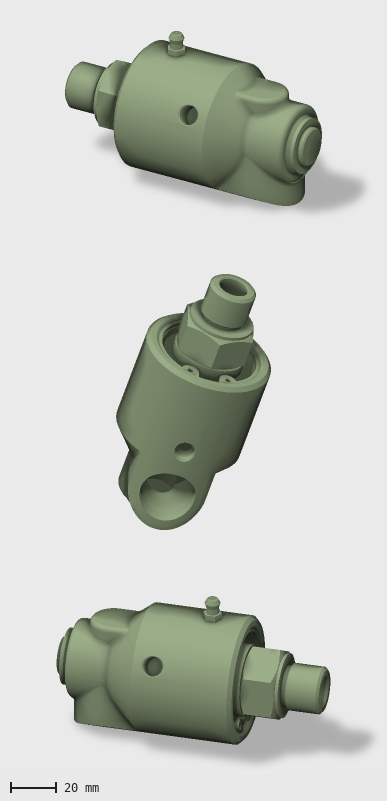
import cadquery as cq
import math

TOTAL_LENGTH = 119.2

THREAD_DIA = 21.0
THREAD_END = 14.7
THREAD_CHAMFER = 1.2
NECK_DIA = 18.4
NECK_START = 15.7
COLLAR_DIA = 28.6
COLLAR_START = 17.3
HEX_START = 18.7
HEX_END = 34.1
HEX_FLATS = 29.9
HEX_FACE_DIA = 29.1
HEX_CHAMFER_ANGLE = 30.0
SHAFT_DIA = 32.0
BORE_DIA = 12.8
BORE_END = 109.6
BORE_CHAMFER = 0.5

BODY_DIA = 57.0
BODY_START = 34.5
BODY_CHAMFER = 1.8
CONE_START = 80.1
NOSE_START = 94.3
NOSE_DIA = 35.0
NOSE_END = 113.2
NOSE_ROUND = 2.0
JOINT_BLEND = 2.0

PLUG_FOOT_DIA = 26.7
PLUG_DIA = 25.0
PLUG_GROOVE_DIA = 24.4
PLUG_GROOVE_START = 115.0
PLUG_END = 116.8
TIP_DIA = 17.5
TIP_CHAMFER = 0.7

FOOT_HALF_WIDTH = 17.3
FOOT_SETBACK = 0.4
PORT_X = NOSE_END - FOOT_SETBACK - FOOT_HALF_WIDTH
PORT_DIA = 24.4
BOSS_RADIUS = 10.2
BOSS_TOP = 22.2
BOSS_ROUND = 2.1
BOSS_BACK = 83.4
JOINT_TOLERANCE = 0.0001

RECESS_DIA = 46.7
RECESS_MOUTH_DIA = 48.6
RECESS_MOUTH_DEPTH = 0.7
RING_START = 35.6
RING_THICKNESS = 1.5
RING_INNER_DIA = 43.1
RING_END = RING_START + RING_THICKNESS
LUG_Y = 8.6
LUG_Z = -18.6
LUG_RADIUS = 3.8
LUG_HOLE_DIA = 2.5
SEAL_OUTER_DIA = 42.0
SEAL_INNER_DIA = 39.7
SEAL_DEPTH = 2.4
SEAL_FACE = RING_END + SEAL_DEPTH

VENT_DIA = 8.6
VENT_RIM_DIA = 10.0
VENT_FLOOR = 20.5
VENT_X = 70.9
VENT_ANGLES = (60, 180, 300)

NIPPLE_X = 50.8
NIPPLE_SINK = 1.2
NIPPLE_FLATS = 7.3
NIPPLE_HEX_TOP = 31.3
NIPPLE_NECK_DIA = 5.5
NIPPLE_NECK_TOP = 33.8
NIPPLE_HEAD_DIA = 6.9
NIPPLE_HEAD_Z = 36.1
NIPPLE_TOP_DIA = 5.0
NIPPLE_SHOULDER_Z = 38.0
NIPPLE_TIP_DIA = 1.4
NIPPLE_TOP = 38.5


def revolved(outline):
    """Solid of revolution about X from (x, radius) points that start and end on the axis."""
    return cq.Workplane("XY").polyline(outline).close().revolve(360, (0, 0, 0), (1, 0, 0))


def cylinder_x(diameter, start, end):
    """Cylinder on the main axis."""
    return cq.Workplane("YZ", origin=(start, 0, 0)).circle(diameter / 2).extrude(end - start)


def round_ended_block(back, half_width, bottom, height):
    """Upright block that starts at X = back and ends in a half circle about the port axis."""
    return (
        cq.Workplane("XY", origin=(0, 0, bottom))
        .moveTo(back, -half_width)
        .lineTo(PORT_X, -half_width)
        .threePointArc((PORT_X + half_width, 0), (PORT_X, half_width))
        .lineTo(back, half_width)
        .close()
        .extrude(height)
    )


def turned_housing():
    body_r = BODY_DIA / 2
    nose_r = NOSE_DIA / 2
    return revolved([
        (BODY_START, 0),
        (BODY_START, body_r - BODY_CHAMFER),
        (BODY_START + BODY_CHAMFER, body_r),
        (CONE_START, body_r),
        (NOSE_START, nose_r),
        (NOSE_END, nose_r),
        (NOSE_END, 0),
    ])


def port_foot():
    """Foot that continues the body cylinder below the nose."""
    block = round_ended_block(CONE_START, FOOT_HALF_WIDTH, -BODY_DIA / 2, BODY_DIA / 2)
    return block.intersect(cylinder_x(BODY_DIA, CONE_START, NOSE_END))


def top_boss():
    boss = round_ended_block(BOSS_BACK, BOSS_RADIUS, 0, BOSS_TOP)
    return boss.faces(">Z").edges("not <X").fillet(BOSS_ROUND)


def touches(edge, solid):
    midpoint = cq.Vertex.makeVertex(*edge.positionAt(0.5).toTuple())
    return solid.val().distance(midpoint) < JOINT_TOLERANCE


def blended_housing():
    """Housing with foot and boss, rounded along every line where they meet and where cone meets nose."""
    turned = turned_housing()
    attachments = (port_foot(), top_boss())
    housing = turned
    for attachment in attachments:
        housing = housing.union(attachment)

    def is_joint(edge):
        past_body = edge.Center().x > CONE_START + JOINT_TOLERANCE
        return past_body and touches(edge, turned) and any(touches(edge, part) for part in attachments)

    def is_cone_end(edge):
        return edge.geomType() == "CIRCLE" and abs(edge.positionAt(0.5).x - NOSE_START) < JOINT_TOLERANCE

    blended = [edge for edge in housing.edges().vals() if is_joint(edge) or is_cone_end(edge)]
    return housing.newObject(blended).fillet(JOINT_BLEND)


def nose_end_round():
    """Material removed to round the end of the nose, sparing the foot."""
    nose_end = cylinder_x(NOSE_DIA, PORT_X, NOSE_END)
    rounded = nose_end.faces(">X").edges().fillet(NOSE_ROUND)
    return nose_end.cut(rounded).cut(port_foot())


def end_plug():
    """Stepped plug with a tapered root and a small tip, closing the nose."""
    return revolved([
        (BORE_END, 0),
        (BORE_END, PLUG_FOOT_DIA / 2),
        (NOSE_END, PLUG_FOOT_DIA / 2),
        (PLUG_GROOVE_START, PLUG_GROOVE_DIA / 2),
        (PLUG_GROOVE_START, PLUG_DIA / 2),
        (PLUG_END, PLUG_DIA / 2),
        (PLUG_END, TIP_DIA / 2),
        (TOTAL_LENGTH - TIP_CHAMFER, TIP_DIA / 2),
        (TOTAL_LENGTH, TIP_DIA / 2 - TIP_CHAMFER),
        (TOTAL_LENGTH, 0),
    ])


def open_end_recess():
    """Material removed from the open end down to the seal face."""
    return revolved([
        (BODY_START, 0),
        (BODY_START, RECESS_MOUTH_DIA / 2),
        (BODY_START + RECESS_MOUTH_DEPTH, RECESS_DIA / 2),
        (RING_END, RECESS_DIA / 2),
        (RING_END, SEAL_OUTER_DIA / 2),
        (SEAL_FACE, SEAL_INNER_DIA / 2),
        (SEAL_FACE, 0),
    ])


def retaining_ring():
    """Internal retaining ring, open at the bottom between two drilled lugs."""
    plane = cq.Workplane("YZ", origin=(RING_START, 0, 0))
    gap_half_width = LUG_Y - LUG_RADIUS
    ring = plane.circle(RECESS_DIA / 2).circle(RING_INNER_DIA / 2).extrude(RING_THICKNESS)
    gap = plane.center(0, -RECESS_DIA / 2).rect(2 * gap_half_width, RECESS_DIA).extrude(RING_THICKNESS)
    ring = ring.cut(gap)
    disc = plane.circle(RECESS_DIA / 2).extrude(RING_THICKNESS)
    for y in (-LUG_Y, LUG_Y):
        lug_foot_height = RECESS_DIA / 2 + LUG_Z
        head = plane.center(y, LUG_Z).circle(LUG_RADIUS).extrude(RING_THICKNESS)
        foot = (
            plane.center(y, LUG_Z - lug_foot_height / 2)
            .rect(2 * LUG_RADIUS, lug_foot_height)
            .extrude(RING_THICKNESS)
        )
        hole = plane.center(y, LUG_Z).circle(LUG_HOLE_DIA / 2).extrude(RING_THICKNESS)
        ring = ring.union(head.union(foot).intersect(disc)).cut(hole)
    return ring


def shaft():
    """Threaded end, undercut neck, collar and the plain journal that enters the seal."""
    thread_r = THREAD_DIA / 2
    return revolved([
        (0, 0),
        (0, thread_r - THREAD_CHAMFER),
        (THREAD_CHAMFER, thread_r),
        (THREAD_END, thread_r),
        (NECK_START, NECK_DIA / 2),
        (COLLAR_START, NECK_DIA / 2),
        (COLLAR_START, COLLAR_DIA / 2),
        (HEX_END, COLLAR_DIA / 2),
        (HEX_END, SHAFT_DIA / 2),
        (SEAL_FACE, SHAFT_DIA / 2),
        (SEAL_FACE, 0),
    ])


def hexagon():
    """Hexagon with flats facing +Y and -Y and both corner rings chamfered."""
    corner_dia = HEX_FLATS / math.cos(math.radians(30))
    chamfer_height = (corner_dia - HEX_FACE_DIA) / 2
    chamfer_length = chamfer_height * math.tan(math.radians(HEX_CHAMFER_ANGLE))
    prism = (
        cq.Workplane("YZ", origin=(HEX_START, 0, 0))
        .transformed(rotate=(0, 0, 90))
        .polygon(6, corner_dia)
        .extrude(HEX_END - HEX_START)
    )
    envelope = revolved([
        (HEX_START, 0),
        (HEX_START, HEX_FACE_DIA / 2),
        (HEX_START + chamfer_length, corner_dia / 2),
        (HEX_END - chamfer_length, corner_dia / 2),
        (HEX_END, HEX_FACE_DIA / 2),
        (HEX_END, 0),
    ])
    return prism.intersect(envelope)


def grease_nipple():
    """Hexagon base with corners along X, waisted neck and rounded head."""
    base_z = BODY_DIA / 2 - NIPPLE_SINK
    corner_dia = NIPPLE_FLATS / math.cos(math.radians(30))
    base = (
        cq.Workplane("XY", origin=(NIPPLE_X, 0, base_z))
        .polygon(6, corner_dia)
        .extrude(NIPPLE_HEX_TOP - base_z)
    )
    head = (
        cq.Workplane("XZ", origin=(NIPPLE_X, 0, 0))
        .moveTo(0, NIPPLE_HEX_TOP)
        .lineTo(NIPPLE_NECK_DIA / 2, NIPPLE_HEX_TOP)
        .lineTo(NIPPLE_NECK_DIA / 2, NIPPLE_NECK_TOP)
        .lineTo(NIPPLE_HEAD_DIA / 2, NIPPLE_HEAD_Z)
        .lineTo(NIPPLE_TOP_DIA / 2, NIPPLE_SHOULDER_Z)
        .lineTo(NIPPLE_TIP_DIA / 2, NIPPLE_SHOULDER_Z)
        .lineTo(NIPPLE_TIP_DIA / 2, NIPPLE_TOP)
        .lineTo(0, NIPPLE_TOP)
        .close()
        .revolve(360, (0, 0, 0), (0, 1, 0))
    )
    return base.union(head)


def vent_holes():
    """Blind, countersunk radial holes spread evenly around the body."""
    hole_r = VENT_DIA / 2
    rim_r = VENT_RIM_DIA / 2
    rim_z = BODY_DIA / 2
    cone_z = rim_z - (rim_r - hole_r)
    hole = (
        cq.Workplane("XZ", origin=(VENT_X, 0, 0))
        .polyline([(0, VENT_FLOOR), (hole_r, VENT_FLOOR), (hole_r, cone_z), (rim_r, rim_z), (0, rim_z)])
        .close()
        .revolve(360, (0, 0, 0), (0, 1, 0))
    )
    holes = cq.Workplane("XY")
    for angle in VENT_ANGLES:
        holes = holes.union(hole.rotate((0, 0, 0), (1, 0, 0), angle))
    return holes


def flow_passage():
    """Bore along the shaft, open to the port in the foot."""
    bore = revolved([
        (0, 0),
        (0, BORE_DIA / 2 + BORE_CHAMFER),
        (BORE_CHAMFER, BORE_DIA / 2),
        (BORE_END, BORE_DIA / 2),
        (BORE_END, 0),
    ])
    port = cq.Workplane("XY").center(PORT_X, 0).circle(PORT_DIA / 2).extrude(-BODY_DIA / 2)
    return bore.union(port)


result = (
    blended_housing()
    .cut(nose_end_round())
    .cut(open_end_recess())
    .union(retaining_ring())
    .union(shaft())
    .union(hexagon())
    .union(end_plug())
    .union(grease_nipple())
    .cut(vent_holes())
    .cut(flow_passage())
)